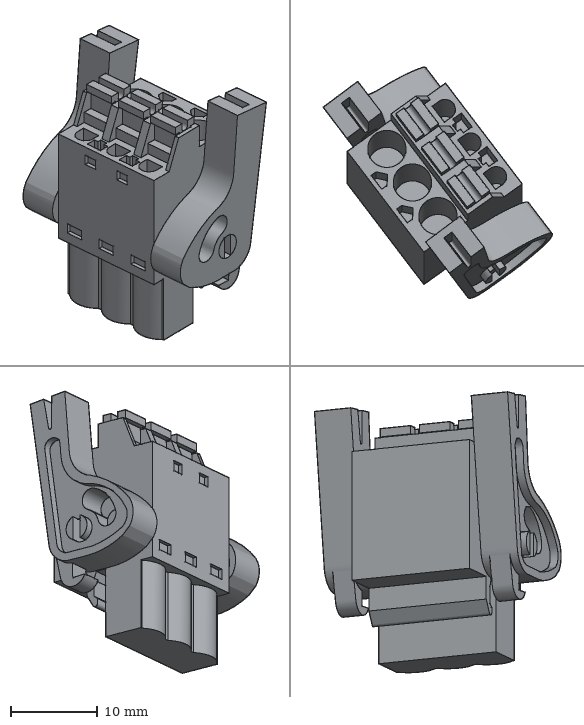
import cadquery as cq
import math


PITCH = 5.0
POLE_XS = [-PITCH, 0.0, PITCH]
GAP_XS = [-PITCH / 2, PITCH / 2]

HOUSING_WIDTH = len(POLE_XS) * PITCH
HOUSING_DEPTH = 14.19
FRONT_TOP = 14.33
REAR_TOP = 15.33

RIDGE_REAR = 6.33
RIDGE_FRONT = 9.92
RIDGE_FOOT = 11.56
RIDGE_TOP = 18.22
STEP_FRONT = 10.34
STEP_TOP = 15.73

BUTTON_WIDTH = 3.9
BUTTON_TOP = 19.37
HEAD_BOTTOM = 18.37
HEAD_REAR = 6.64
HEAD_FRONT = 9.9
SHAFT_REAR = 7.19
SHAFT_FRONT = 9.2
SHAFT_BOTTOM = 12.0
GROOVE_CENTER = 8.27
GROOVE_RADIUS = 0.48
GROOVE_BOTTOM = 18.25

ROUND_HOLE_RADIUS = 2.22
ROUND_HOLE_CENTER = 3.88
WIRE_HOLE_WIDTH = 2.38
WIRE_HOLE_REAR = 11.3
WIRE_HOLE_ARC_CENTER = 12.28
DEEP_HOLE_DEPTH = 8.0
KEY_WIDTH = 2.05
KEY_REAR = 0.53
KEY_SHOULDER = 1.25
KEY_TIP = 2.13
TEE_NECK_WIDTH = 0.93
TEE_REAR = 11.87
TEE_SHOULDER = 12.32
TEE_FRONT = 13.55
KEY_DEPTH = 3.0

WINDOW_DEPTH = 0.5
WINDOW_HEIGHT = 1.25
UPPER_WINDOW_WIDTH = 1.6
UPPER_WINDOW_Z = 12.57
LOWER_WINDOW_WIDTH = 2.2
LOWER_WINDOW_Z = 1.93

PLUG_REAR = 7.42
PLUG_FLAT_FRONT = 12.53
PLUG_LOBE_FRONT = 13.46
PLUG_BOTTOM = -8.42
LOBE_WIDTH = 4.55

TONGUE_REAR = 4.7
TONGUE_REAR_FOOT = -2.7
TONGUE_ROOT_FRONT = 6.08
TONGUE_NECK_FRONT = 5.73
TONGUE_NECK_TOP = -1.0
TONGUE_NECK_BOTTOM = -3.0
TONGUE_HEAD_FRONT = 6.25
TONGUE_HEAD_TOP = -3.4
TONGUE_HEAD_FOOT = -3.95
TONGUE_TIP = (5.95, -4.33)
TONGUE_TIP_REAR = (5.6, -4.2)

OVERALL_HEIGHT = 29.52
LEVER_WIDTH = 4.65
LEVER_SPAN = 24.7
LEVER_OFFSET = (LEVER_SPAN - LEVER_WIDTH) / 2
POCKET_DEPTH = 1.0
LATCH_WIDTH = 2.6
TAG_SLOT_LENGTH = 3.72

HANDLE_REAR_TOP = (0.1, 20.58)
HANDLE_FRONT_TOP = (5.1, PLUG_BOTTOM + OVERALL_HEIGHT)
HANDLE_FRONT_FOOT = (5.76, 13.41)
SHOULDER_START = (8.77, 9.86)
SHOULDER_MIDDLE = (11.95, 8.2)
SHOULDER_END = (14.47, 5.75)
NOSE_START = (14.78, 5.09)
NOSE_TIP = (14.96, 4.15)
NOSE_END = (14.45, 2.31)
CHIN = (13.44, 1.38)
BELLY_MIDDLE = (11.05, 0.37)
BELLY_END = (8.4, 0)
HEEL_START = (5.75, 0)
HEEL_MIDDLE = (3.76, 0.74)
HEEL_END = (2.79, 2.61)

POCKET_TOP_REAR = (2.21, 14.6)
POCKET_TOP = (3.3, 15.7)
POCKET_TOP_FRONT = (4.43, 14.6)
POCKET_FRONT_FOOT = (4.55, 13.15)
POCKET_SHOULDER_START = (8.37, 8.92)
POCKET_SHOULDER_END = (13.78, 4.96)
POCKET_NOSE = (14.1, 4.0)
POCKET_CHIN = (13.36, 2.4)
POCKET_BELLY_MIDDLE = (11.22, 1.48)
POCKET_BELLY_END = (9.1, 1.01)
POCKET_HEEL_START = (5.6, POCKET_BELLY_END[1])
POCKET_HEEL_MIDDLE = (4.5, 1.42)
POCKET_HEEL_END = (3.97, 2.26)

LATCH_BACK_UPPER = (3.45, -0.2)
LATCH_BACK_LOWER = (3.7, -1.3)
LATCH_BOTTOM = (5.3, -2.87)
HOOK_TIP = (7.24, -1.72)
HOOK_ROOT = (5.5, -1.82)
LATCH_FRONT_TOP = (5.4, HEEL_END[1])

TAG_SLOT_REAR_TOP = 2.0
TAG_SLOT_TIP_REAR = 2.75
TAG_SLOT_FRONT = 3.2
TAG_SLOT_TIP_Z = 17.1

PIVOT_FORWARD = 6.8
PIVOT_Z = 3.86
PIVOT_RADIUS = 1.5
PIVOT_END = LEVER_SPAN / 2
DRIVER_SLOT_WIDTH = 1.04
DRIVER_SLOT_DEPTH = 2.5
GUIDE_RADIUS = 1.3
GUIDE_SWING = 3.77
GUIDE_ANGLE = 14.9
GUIDE_SLOT_END_ANGLE = 68.4
GUIDE_LENGTH = 2.0


def side_plane(x):
    """Plane at x whose local axes are forward and up, extruding toward -X."""
    return cq.Workplane(cq.Plane(origin=(x, 0, 0), xDir=(0, -1, 0), normal=(-1, 0, 0)))


def top_plane(z):
    """Horizontal plane at z with local axes X and Y."""
    return cq.Workplane("XY", origin=(0, 0, z))


def box(width, rear, front, bottom, top, x=0.0):
    """Block centred on x between forward distances rear and front."""
    return (
        side_plane(x + width / 2)
        .moveTo(rear, bottom)
        .lineTo(front, bottom)
        .lineTo(front, top)
        .lineTo(rear, top)
        .close()
        .extrude(width)
    )


def swing_point(angle, radius=GUIDE_SWING):
    """Point at an angle above forward on a circle around the lever pivot."""
    turn = math.radians(angle)
    return (PIVOT_FORWARD + radius * math.cos(turn), PIVOT_Z + radius * math.sin(turn))


def housing_block():
    return (
        side_plane(HOUSING_WIDTH / 2)
        .moveTo(0, 0)
        .lineTo(HOUSING_DEPTH, 0)
        .lineTo(HOUSING_DEPTH, FRONT_TOP)
        .lineTo(RIDGE_FOOT, FRONT_TOP)
        .lineTo(RIDGE_FRONT, RIDGE_TOP)
        .lineTo(RIDGE_REAR, RIDGE_TOP)
        .lineTo(RIDGE_REAR, REAR_TOP)
        .lineTo(0, REAR_TOP)
        .close()
        .extrude(HOUSING_WIDTH)
    )


def button_channel(x):
    """Stepped opening between the ribs, with the well of the button shaft behind the step."""
    return (
        side_plane(x + BUTTON_WIDTH / 2)
        .moveTo(SHAFT_REAR, SHAFT_BOTTOM)
        .lineTo(SHAFT_FRONT, SHAFT_BOTTOM)
        .lineTo(SHAFT_FRONT, STEP_TOP)
        .lineTo(STEP_FRONT, STEP_TOP)
        .lineTo(STEP_FRONT, FRONT_TOP)
        .lineTo(RIDGE_FOOT, FRONT_TOP)
        .lineTo(RIDGE_FOOT, RIDGE_TOP)
        .lineTo(SHAFT_REAR, RIDGE_TOP)
        .close()
        .extrude(BUTTON_WIDTH)
    )


def round_hole(x):
    return (
        top_plane(REAR_TOP)
        .center(x, -ROUND_HOLE_CENTER)
        .circle(ROUND_HOLE_RADIUS)
        .extrude(-DEEP_HOLE_DEPTH)
    )


def wire_hole(x):
    """D-shaped hole with its round side to the front."""
    half = WIRE_HOLE_WIDTH / 2
    return (
        top_plane(FRONT_TOP)
        .moveTo(x - half, -WIRE_HOLE_REAR)
        .lineTo(x + half, -WIRE_HOLE_REAR)
        .lineTo(x + half, -WIRE_HOLE_ARC_CENTER)
        .threePointArc((x, -WIRE_HOLE_ARC_CENTER - half), (x - half, -WIRE_HOLE_ARC_CENTER))
        .close()
        .extrude(-DEEP_HOLE_DEPTH)
    )


def pointed_recess(x):
    half = KEY_WIDTH / 2
    return (
        top_plane(REAR_TOP)
        .moveTo(x - half, -KEY_REAR)
        .lineTo(x + half, -KEY_REAR)
        .lineTo(x + half, -KEY_SHOULDER)
        .lineTo(x, -KEY_TIP)
        .lineTo(x - half, -KEY_SHOULDER)
        .close()
        .extrude(-KEY_DEPTH)
    )


def tee_recess(x):
    bar = box(KEY_WIDTH, TEE_SHOULDER, TEE_FRONT, FRONT_TOP - KEY_DEPTH, FRONT_TOP, x)
    neck = box(TEE_NECK_WIDTH, TEE_REAR, TEE_SHOULDER, FRONT_TOP - KEY_DEPTH, FRONT_TOP, x)
    return bar.union(neck)


def window(x, z, width):
    rear = HOUSING_DEPTH - WINDOW_DEPTH
    return box(width, rear, HOUSING_DEPTH, z - WINDOW_HEIGHT / 2, z + WINDOW_HEIGHT / 2, x)


def plug():
    """Block with a shallow round lobe in front of every pole."""
    body = box(HOUSING_WIDTH, PLUG_REAR, PLUG_FLAT_FRONT, PLUG_BOTTOM, 0)
    for x in POLE_XS:
        lobe = (
            top_plane(PLUG_BOTTOM)
            .moveTo(x - LOBE_WIDTH / 2, -PLUG_FLAT_FRONT)
            .threePointArc((x, -PLUG_LOBE_FRONT), (x + LOBE_WIDTH / 2, -PLUG_FLAT_FRONT))
            .close()
            .extrude(-PLUG_BOTTOM)
        )
        body = body.union(lobe)
    return body


def snap_tongue():
    """Hooked tongue under the housing, behind the plug."""
    return (
        side_plane(HOUSING_WIDTH / 2)
        .moveTo(TONGUE_REAR, 0)
        .lineTo(TONGUE_ROOT_FRONT, 0)
        .lineTo(TONGUE_NECK_FRONT, TONGUE_NECK_TOP)
        .lineTo(TONGUE_NECK_FRONT, TONGUE_NECK_BOTTOM)
        .lineTo(TONGUE_HEAD_FRONT, TONGUE_HEAD_TOP)
        .lineTo(TONGUE_HEAD_FRONT, TONGUE_HEAD_FOOT)
        .threePointArc(TONGUE_TIP, TONGUE_TIP_REAR)
        .lineTo(TONGUE_REAR, TONGUE_REAR_FOOT)
        .close()
        .extrude(HOUSING_WIDTH)
    )


def pivot(side):
    """Lever axle on one side of the housing, with a round-bottomed driver slot in its end."""
    face = side * HOUSING_WIDTH / 2
    length = PIVOT_END - HOUSING_WIDTH / 2
    axle = side_plane(face).center(PIVOT_FORWARD, PIVOT_Z).circle(PIVOT_RADIUS).extrude(-side * length)
    half = DRIVER_SLOT_WIDTH / 2
    slot_floor = PIVOT_END - DRIVER_SLOT_DEPTH
    arc_start = slot_floor + half
    slot = (
        top_plane(PIVOT_Z - PIVOT_RADIUS)
        .moveTo(side * PIVOT_END, -PIVOT_FORWARD - half)
        .lineTo(side * arc_start, -PIVOT_FORWARD - half)
        .threePointArc((side * slot_floor, -PIVOT_FORWARD), (side * arc_start, -PIVOT_FORWARD + half))
        .lineTo(side * PIVOT_END, -PIVOT_FORWARD + half)
        .close()
        .extrude(2 * PIVOT_RADIUS)
    )
    return axle.cut(slot)


def guide_pin(side):
    return (
        side_plane(side * HOUSING_WIDTH / 2)
        .center(*swing_point(GUIDE_ANGLE))
        .circle(GUIDE_RADIUS)
        .extrude(-side * GUIDE_LENGTH)
    )


def make_housing():
    housing = housing_block().union(plug()).union(snap_tongue())
    for x in POLE_XS:
        housing = housing.cut(button_channel(x)).cut(round_hole(x)).cut(wire_hole(x))
        housing = housing.cut(window(x, LOWER_WINDOW_Z, LOWER_WINDOW_WIDTH))
    for x in GAP_XS:
        housing = housing.cut(pointed_recess(x)).cut(tee_recess(x))
        housing = housing.cut(window(x, UPPER_WINDOW_Z, UPPER_WINDOW_WIDTH))
    for side in (-1, 1):
        housing = housing.union(pivot(side)).union(guide_pin(side))
    return housing


def make_button(x):
    """Push button: a shaft in the housing well under a wider, grooved head."""
    shaft = box(BUTTON_WIDTH, SHAFT_REAR, SHAFT_FRONT, SHAFT_BOTTOM, HEAD_BOTTOM, x)
    head = box(BUTTON_WIDTH, HEAD_REAR, HEAD_FRONT, HEAD_BOTTOM, BUTTON_TOP, x)
    arc_z = GROOVE_BOTTOM + GROOVE_RADIUS
    groove = (
        side_plane(x + BUTTON_WIDTH / 2)
        .moveTo(GROOVE_CENTER - GROOVE_RADIUS, BUTTON_TOP)
        .lineTo(GROOVE_CENTER - GROOVE_RADIUS, arc_z)
        .threePointArc((GROOVE_CENTER, GROOVE_BOTTOM), (GROOVE_CENTER + GROOVE_RADIUS, arc_z))
        .lineTo(GROOVE_CENTER + GROOVE_RADIUS, BUTTON_TOP)
        .close()
        .extrude(BUTTON_WIDTH)
    )
    return shaft.union(head).cut(groove)


def lever_plate(outer):
    """Handle that sweeps down into a broad rounded nose."""
    return (
        side_plane(outer + LEVER_WIDTH)
        .moveTo(*HANDLE_REAR_TOP)
        .lineTo(*HANDLE_FRONT_TOP)
        .lineTo(*HANDLE_FRONT_FOOT)
        .tangentArcPoint(SHOULDER_START, relative=False)
        .threePointArc(SHOULDER_MIDDLE, SHOULDER_END)
        .lineTo(*NOSE_START)
        .threePointArc(NOSE_TIP, NOSE_END)
        .lineTo(*CHIN)
        .threePointArc(BELLY_MIDDLE, BELLY_END)
        .lineTo(*HEEL_START)
        .threePointArc(HEEL_MIDDLE, HEEL_END)
        .close()
        .extrude(LEVER_WIDTH)
    )


def lever_pocket(outer):
    """Shallow recess that leaves a rim around the plate."""
    return (
        side_plane(outer + POCKET_DEPTH)
        .moveTo(*POCKET_TOP_REAR)
        .threePointArc(POCKET_TOP, POCKET_TOP_FRONT)
        .lineTo(*POCKET_FRONT_FOOT)
        .tangentArcPoint(POCKET_SHOULDER_START, relative=False)
        .tangentArcPoint(POCKET_SHOULDER_END, relative=False)
        .threePointArc(POCKET_NOSE, POCKET_CHIN)
        .threePointArc(POCKET_BELLY_MIDDLE, POCKET_BELLY_END)
        .lineTo(*POCKET_HEEL_START)
        .threePointArc(POCKET_HEEL_MIDDLE, POCKET_HEEL_END)
        .close()
        .extrude(POCKET_DEPTH)
    )


def lever_latch(middle):
    """Hooked catch below the plate, narrower than the plate."""
    return (
        side_plane(middle + LATCH_WIDTH / 2)
        .moveTo(*HEEL_END)
        .lineTo(*LATCH_BACK_UPPER)
        .lineTo(*LATCH_BACK_LOWER)
        .threePointArc(LATCH_BOTTOM, HOOK_TIP)
        .lineTo(*HOOK_ROOT)
        .lineTo(*LATCH_FRONT_TOP)
        .close()
        .extrude(LATCH_WIDTH)
    )


def tag_slot(outer):
    """Tapered slot in the top of the handle, open at the outer face."""
    handle_top = HANDLE_FRONT_TOP[1]
    tip_radius = (TAG_SLOT_FRONT - TAG_SLOT_TIP_REAR) / 2
    return (
        side_plane(outer + TAG_SLOT_LENGTH)
        .moveTo(TAG_SLOT_REAR_TOP, handle_top)
        .lineTo(TAG_SLOT_TIP_REAR, TAG_SLOT_TIP_Z)
        .threePointArc(
            (TAG_SLOT_FRONT - tip_radius, TAG_SLOT_TIP_Z - tip_radius),
            (TAG_SLOT_FRONT, TAG_SLOT_TIP_Z),
        )
        .lineTo(TAG_SLOT_FRONT, handle_top)
        .close()
        .extrude(TAG_SLOT_LENGTH)
    )


def pivot_hole(outer):
    return (
        side_plane(outer + LEVER_WIDTH)
        .center(PIVOT_FORWARD, PIVOT_Z)
        .circle(PIVOT_RADIUS)
        .extrude(LEVER_WIDTH)
    )


def guide_slot(outer):
    """Curved slot around the pivot in which the guide pin rides."""
    inside = GUIDE_SWING - GUIDE_RADIUS
    outside = GUIDE_SWING + GUIDE_RADIUS
    middle_angle = (GUIDE_ANGLE + GUIDE_SLOT_END_ANGLE) / 2
    slot = (
        side_plane(outer + LEVER_WIDTH)
        .moveTo(*swing_point(GUIDE_ANGLE, inside))
        .threePointArc(swing_point(middle_angle, inside), swing_point(GUIDE_SLOT_END_ANGLE, inside))
        .lineTo(*swing_point(GUIDE_SLOT_END_ANGLE, outside))
        .threePointArc(swing_point(middle_angle, outside), swing_point(GUIDE_ANGLE, outside))
        .close()
        .extrude(LEVER_WIDTH)
    )
    for angle in (GUIDE_ANGLE, GUIDE_SLOT_END_ANGLE):
        end = side_plane(outer + LEVER_WIDTH).center(*swing_point(angle)).circle(GUIDE_RADIUS)
        slot = slot.union(end.extrude(LEVER_WIDTH))
    return slot


def make_lever(middle):
    outer = middle - LEVER_WIDTH / 2
    lever = lever_plate(outer).union(lever_latch(middle))
    for opening in (lever_pocket, tag_slot, pivot_hole, guide_slot):
        lever = lever.cut(opening(outer))
    return lever


housing = make_housing()
buttons = [make_button(x) for x in POLE_XS]
levers = [make_lever(x) for x in (-LEVER_OFFSET, LEVER_OFFSET)]

result = cq.Compound.makeCompound(
    [housing.val(), *[button.val() for button in buttons], *[lever.val() for lever in levers]]
)